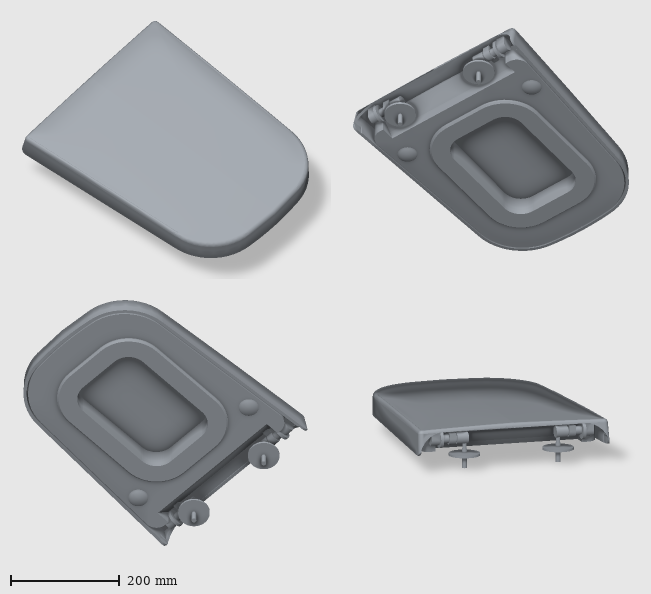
import cadquery as cq
import math


REAR_HALF_WIDTH = 185.0
CORNER_START = (368.0, 162.0)
CORNER_END = (466.0, 65.8)
FRONT_X = 469.5
SIDE_SLOPE = (CORNER_START[1] - REAR_HALF_WIDTH) / CORNER_START[0]

CREST_X = 37.5
CREST_Z = 51.5
LENGTHWISE_RADIUS = 7703.2
CROSSWISE_RADIUS = 3757.5

LID_DRAFT = 1.5
LID_WALL = 5.5
LID_ROOF = 7.0
REAR_TOP_X = 13.0
REAR_FOOT_X = 5.5
REAR_FOOT_Z = 14.0
REAR_FOOT_END_X = 20.5
CORNER_FILLET = 8.5
SIDE_TOP_FILLET = 7.0
BLANK_HEIGHT = 61.0
ARCH_TOP = (141.0, 42.7)
ARCH_MIDDLE = (163.0, 34.5)
ARCH_FOOT = (179.5, 14.0)
ARCH_DEPTH = 28.0

SEAT_INSET = 8.5
SEAT_REAR_X = 44.5
SEAT_TOP_DROP = 10.0
LIP_REAR_X = 103.5
LIP_FRONT_X = 408.5
LIP_HALF_WIDTH = 115.0
LIP_CORNER_RADIUS = 75.0
LIP_DEPTH = 6.5
LIP_CHAMFER = 3.5
LIP_WIDTH = 37.5
SEAT_CORNER_RADIUS = 23.5
UNDERCUT_HALF_WIDTH = 141.0
UNDERCUT_TOP_Z = 34.8
UNDERCUT_BEND = (65.8, 10.5)
UNDERCUT_END_X = 73.0
FOOT_X = LIP_REAR_X + 19
FOOT_Y = 143.0
FOOT_RADIUS = 18.5
FOOT_TOP_Z = 1.5
FOOT_DEPTH = 6.0

HINGE_X = 29.0
HINGE_Z = 27.0
POST_Y = 90.0
BARREL_DIAMETER = 22.0
BARREL_Y = (84.5, 106.5)
PIN_DIAMETER = 16.0
SEAT_LUG_Y = (109.0, 121.5)
LID_LUG_Y = (140.0, 156.5)
FLANGE_Y = (134.5, 140.0)
FLANGE_DIAMETER = 34.0
SEAT_LUG_TOP_Z = 37.5
LID_LUG_TOP_Z = 47.0
STEM_DIAMETER = 8.0
STUD_DIAMETER = 9.0
STUD_TOP_Z = -10.0
STUD_BOTTOM_Z = -30.5
WASHER_DIAMETER = 58.2
WASHER_RIM_Z = -2.5
WASHER_THICKNESS = 4.0
WASHER_CROWN = 2.0
COLLAR_DIAMETER = 10.0
COLLAR_TOP_Z = 5.5

MARGIN = 9.5

SIDES = (-1, 1)


def span(y_range, side):
    """Start and length in Y of a feature, mirrored for the -Y side."""
    start = min(side * y_range[0], side * y_range[1])
    return start, y_range[1] - y_range[0]


def y_cylinder(diameter, y_range, side):
    """Cylinder on the hinge axis."""
    start, length = span(y_range, side)
    return (
        cq.Workplane("XZ", origin=(HINGE_X, start, HINGE_Z))
        .circle(diameter / 2)
        .extrude(-length)
    )


def plan_outline():
    """Plan of the lid: tapering sides, large tangent front corners and a bowed front."""
    corner_x, corner_y = CORNER_START
    end_x, end_y = CORNER_END
    side_angle = math.atan(SIDE_SLOPE)
    chord_angle = math.atan2(end_y - corner_y, end_x - corner_x)
    chord = math.hypot(end_x - corner_x, end_y - corner_y)
    sagitta = chord / 2 * math.tan((side_angle - chord_angle) / 2)
    middle_x = (corner_x + end_x) / 2 - sagitta * math.sin(chord_angle)
    middle_y = (corner_y + end_y) / 2 + sagitta * math.cos(chord_angle)
    return (
        cq.Workplane("XY")
        .moveTo(0, -REAR_HALF_WIDTH)
        .lineTo(corner_x, -corner_y)
        .threePointArc((middle_x, -middle_y), (end_x, -end_y))
        .threePointArc((FRONT_X, 0), (end_x, end_y))
        .threePointArc((middle_x, middle_y), (corner_x, corner_y))
        .lineTo(0, REAR_HALF_WIDTH)
        .close()
    )


def crowned_block(drop):
    """Everything under the crowned upper face, lowered by `drop`."""
    half_width = REAR_HALF_WIDTH + MARGIN
    edge_fall = CROSSWISE_RADIUS - math.sqrt(CROSSWISE_RADIUS**2 - half_width**2)
    top = CREST_Z - drop
    floor = -LIP_DEPTH - MARGIN
    sweep = math.degrees((FRONT_X + MARGIN) / LENGTHWISE_RADIUS)
    axis_depth = top - LENGTHWISE_RADIUS
    return (
        cq.Workplane("YZ", origin=(CREST_X, 0, 0))
        .moveTo(-half_width, floor)
        .lineTo(-half_width, top - edge_fall)
        .threePointArc((0, top), (half_width, top - edge_fall))
        .lineTo(half_width, floor)
        .close()
        .revolve(2 * sweep, (0, axis_depth, 0), (1, axis_depth, 0))
        .rotate((CREST_X, 0, axis_depth), (CREST_X, 1, axis_depth), -sweep)
    )


def ahead_of_rear_plane(shift):
    """Block ahead of the sloping rear plane, moved forward by `shift`."""
    slope = (REAR_TOP_X - REAR_FOOT_X) / (CREST_Z - REAR_FOOT_Z)
    low_x = REAR_FOOT_X + shift - slope * REAR_FOOT_Z
    high_x = low_x + slope * BLANK_HEIGHT
    return (
        cq.Workplane("XZ")
        .polyline([
            (low_x, 0),
            (FRONT_X + MARGIN, 0),
            (FRONT_X + MARGIN, BLANK_HEIGHT),
            (high_x, BLANK_HEIGHT),
        ])
        .close()
        .extrude(REAR_HALF_WIDTH + MARGIN, both=True)
    )


def rounded_foot_cutter():
    """Waste outside the rounded lower rear corner of the lid."""
    reach = REAR_FOOT_END_X - REAR_FOOT_X
    arc_middle = (
        REAR_FOOT_END_X - reach * math.cos(math.pi / 4),
        REAR_FOOT_Z * (1 - math.sin(math.pi / 4)),
    )
    return (
        cq.Workplane("XZ")
        .moveTo(REAR_FOOT_X, REAR_FOOT_Z)
        .threePointArc(arc_middle, (REAR_FOOT_END_X, 0))
        .lineTo(REAR_FOOT_END_X, -MARGIN)
        .lineTo(-MARGIN, -MARGIN)
        .lineTo(-MARGIN, REAR_FOOT_Z)
        .close()
        .extrude(REAR_HALF_WIDTH + MARGIN, both=True)
    )


def rear_arch():
    """Opening through the rear wall, leaving a thin lip above and a leg at each corner."""
    (top_y, top_z), (foot_y, foot_z) = ARCH_TOP, ARCH_FOOT
    middle_y, middle_z = ARCH_MIDDLE
    return (
        cq.Workplane("YZ")
        .moveTo(-foot_y, -MARGIN)
        .lineTo(-foot_y, foot_z)
        .threePointArc((-middle_y, middle_z), (-top_y, top_z))
        .lineTo(top_y, top_z)
        .threePointArc((middle_y, middle_z), (foot_y, foot_z))
        .lineTo(foot_y, -MARGIN)
        .close()
        .extrude(ARCH_DEPTH)
    )


def hinge_lug(y_range, side, top_z, front_x):
    """Round-bottomed lug on the hinge axis, straight above it."""
    radius = BARREL_DIAMETER / 2
    start, length = span(y_range, side)
    web = cq.Workplane("XY").box(
        front_x - HINGE_X + radius, length, top_z - HINGE_Z, centered=False
    ).translate((HINGE_X - radius, start, HINGE_Z))
    return y_cylinder(BARREL_DIAMETER, y_range, side).union(web)


def pin_span():
    """The pin runs from the barrel to the outer face of the lid lug."""
    return (BARREL_Y[1], LID_LUG_Y[1])


def with_seam(body):
    """The same body with its faces split along the middle plane Y = 0."""
    half_space = cq.Workplane("XY").box(3 * FRONT_X, FRONT_X, FRONT_X).translate((0, FRONT_X / 2, 0))
    half = body.intersect(half_space)
    return half.union(half.mirror("XZ"), clean=False)


def make_lid():
    """Hollow lid with an arched rear opening and a flanged hinge lug on each side."""
    blank = plan_outline().extrude(BLANK_HEIGHT, taper=LID_DRAFT)
    blank = blank.intersect(ahead_of_rear_plane(0))
    blank = blank.faces("<X").edges("not |Y").fillet(CORNER_FILLET)
    blank = blank.intersect(crowned_block(0))
    blank = blank.faces(">Z").edges().fillet(SIDE_TOP_FILLET)
    blank = blank.cut(rounded_foot_cutter())
    cavity = plan_outline().offset2D(-LID_WALL).extrude(BLANK_HEIGHT)
    cavity = cavity.intersect(ahead_of_rear_plane(LID_WALL)).intersect(crowned_block(LID_ROOF))
    lid = blank.cut(cavity).cut(rear_arch())
    for side in SIDES:
        lug = hinge_lug(LID_LUG_Y, side, LID_LUG_TOP_Z, HINGE_X + BARREL_DIAMETER / 2)
        flange = y_cylinder(FLANGE_DIAMETER, FLANGE_Y, side)
        lid = lid.union(lug).union(flange).cut(y_cylinder(PIN_DIAMETER, pin_span(), side))
    return with_seam(lid)


def lip_outline(inset):
    """Rounded column over the lip's outline, shrunk by `inset`; it also shapes the opening."""
    length = LIP_FRONT_X - LIP_REAR_X - 2 * inset
    width = 2 * (LIP_HALF_WIDTH - inset)
    return (
        cq.Workplane("XY", origin=((LIP_REAR_X + LIP_FRONT_X) / 2, 0, -LIP_DEPTH))
        .rect(length, width)
        .extrude(LIP_DEPTH + BLANK_HEIGHT)
        .edges("|Z")
        .fillet(LIP_CORNER_RADIUS - inset)
    )


def rear_undercut():
    """Recess under the middle of the seat's rear bar, bounded by two slanting faces."""
    return (
        cq.Workplane("XZ")
        .polyline([
            (0, UNDERCUT_TOP_Z),
            (SEAT_REAR_X, UNDERCUT_TOP_Z),
            UNDERCUT_BEND,
            (UNDERCUT_END_X, 0),
            (0, 0),
        ])
        .close()
        .extrude(UNDERCUT_HALF_WIDTH, both=True)
    )


def seat_foot(side):
    """Domed foot under one side of the seat."""
    dome_radius = (FOOT_RADIUS**2 + FOOT_DEPTH**2) / (2 * FOOT_DEPTH)
    stem = (
        cq.Workplane("XY", origin=(FOOT_X, side * FOOT_Y, -FOOT_DEPTH))
        .circle(FOOT_RADIUS)
        .extrude(FOOT_DEPTH + FOOT_TOP_Z)
    )
    dome = cq.Workplane("XY").sphere(dome_radius)
    return stem.intersect(dome.translate((FOOT_X, side * FOOT_Y, dome_radius - FOOT_DEPTH)))


def make_seat():
    """Ring under the lid, with a lip round its opening, rear lugs and two feet."""
    ring = plan_outline().offset2D(-SEAT_INSET).extrude(BLANK_HEIGHT)
    behind = cq.Workplane("XY").box(2 * SEAT_REAR_X, FRONT_X, FRONT_X)
    ring = ring.cut(behind).edges("|Z and <X").fillet(SEAT_CORNER_RADIUS)
    ring = ring.intersect(crowned_block(SEAT_TOP_DROP))
    lip = lip_outline(0).intersect(crowned_block(SEAT_TOP_DROP)).faces("<Z").edges().chamfer(LIP_CHAMFER)
    seat = ring.union(lip).cut(lip_outline(LIP_WIDTH)).cut(rear_undercut())
    for side in SIDES:
        lug = hinge_lug(SEAT_LUG_Y, side, SEAT_LUG_TOP_Z, UNDERCUT_BEND[0])
        seat = seat.union(lug).union(seat_foot(side))
        seat = seat.cut(y_cylinder(PIN_DIAMETER, pin_span(), side))
    return with_seam(seat)


def vertical_cylinder(diameter, bottom_z, top_z, side):
    """Cylinder on the axis of a post."""
    return (
        cq.Workplane("XY", origin=(HINGE_X, side * POST_Y, bottom_z))
        .circle(diameter / 2)
        .extrude(top_z - bottom_z)
    )


def make_post(side):
    """Hinge barrel on a stem that ends in a thicker stud."""
    barrel = y_cylinder(BARREL_DIAMETER, BARREL_Y, side)
    stem = vertical_cylinder(STEM_DIAMETER, STUD_TOP_Z, HINGE_Z, side)
    stud = vertical_cylinder(STUD_DIAMETER, STUD_BOTTOM_Z, STUD_TOP_Z, side)
    return barrel.union(stem).union(stud)


def make_pin(side):
    """Pin through the seat lug and the lid lug."""
    return y_cylinder(PIN_DIAMETER, pin_span(), side)


def make_washer(side):
    """Large washer with a slightly crowned top and a bore for the stem."""
    radius = WASHER_DIAMETER / 2
    bottom = WASHER_RIM_Z - WASHER_THICKNESS
    top = WASHER_RIM_Z + WASHER_CROWN
    crown_radius = (radius**2 + WASHER_CROWN**2) / (2 * WASHER_CROWN)
    crown = cq.Workplane("XY").sphere(crown_radius)
    blank = vertical_cylinder(WASHER_DIAMETER, bottom, top, side)
    blank = blank.intersect(crown.translate((HINGE_X, side * POST_Y, top - crown_radius)))
    return blank.cut(vertical_cylinder(STEM_DIAMETER, bottom, top, side))


def make_collar(side):
    """Collar round the stem, seated on the crown of the washer."""
    blank = vertical_cylinder(COLLAR_DIAMETER, WASHER_RIM_Z, COLLAR_TOP_Z, side)
    blank = blank.cut(vertical_cylinder(STEM_DIAMETER, WASHER_RIM_Z, COLLAR_TOP_Z, side))
    return blank.cut(make_washer(side))


lid = make_lid()
seat = make_seat()
hinge_parts = []
for side in SIDES:
    for make_part in (make_post, make_pin, make_washer, make_collar):
        hinge_parts.append(make_part(side).val())

result = cq.Compound.makeCompound([lid.solids().val(), seat.solids().val(), *hinge_parts])